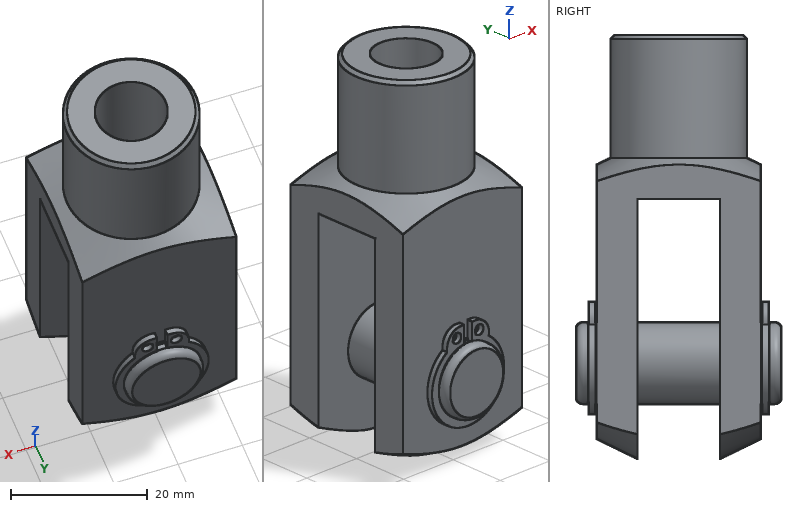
import cadquery as cq
import math

total_height = 62.0
body_width = 24.0
half_width = body_width / 2
corner_radius = half_width * math.sqrt(2)
neck_radius = 20.0 / 2
neck_length = 18.0
neck_chamfer = 0.6
bore_diameter = 10.65
slot_width = 12.0
slot_top = 38.0
cone_slope = math.tan(math.radians(26))
shoulder_height = total_height - neck_length

pin_length = 30.0
pin_radius = 12.0 / 2
pin_height = 14.0
pin_rim_length = 1.05
pin_rim_depth = 0.7
groove_radius = 11.5 / 2
groove_start = half_width + 0.2
groove_width = 1.1

ring_thickness = 1.0
ring_radius = 7.25
ring_drop = 0.25
lug_half_width = 4.2
lug_corner_radius = 2.8
lug_top = 9.0
ring_gap = 1.6
lug_hole_diameter = 1.7
lug_hole_offset = 2.25
lug_hole_height = 7.25


def make_body():
    block = cq.Workplane("XY").box(body_width, body_width, total_height, centered=(True, True, False))

    bottom_rise = cone_slope * (corner_radius - slot_width / 2)
    shoulder_drop = cone_slope * (corner_radius - neck_radius)
    envelope = (
        cq.Workplane("XZ")
        .moveTo(0, 0)
        .lineTo(slot_width / 2, 0)
        .lineTo(corner_radius, bottom_rise)
        .lineTo(corner_radius, shoulder_height - shoulder_drop)
        .lineTo(neck_radius, shoulder_height)
        .lineTo(neck_radius, total_height - neck_chamfer)
        .lineTo(neck_radius - neck_chamfer, total_height)
        .lineTo(0, total_height)
        .close()
        .revolve(360, (0, 0, 0), (0, 1, 0))
    )
    slot = cq.Workplane("XY").box(body_width, slot_width, slot_top, centered=(True, True, False))
    bore = cq.Workplane("XY").circle(bore_diameter / 2).extrude(total_height)
    return block.intersect(envelope).cut(slot).cut(bore)


def make_pin():
    """Pin with rounded rims; each rim arc starts tangent to the cylinder."""
    end = pin_length / 2
    rim_start = end - pin_rim_length
    face_radius = pin_radius - pin_rim_depth
    rim_radius = (pin_rim_length**2 + pin_rim_depth**2) / (2 * pin_rim_depth)
    pin = (
        cq.Workplane("XY")
        .moveTo(0, -end)
        .lineTo(face_radius, -end)
        .radiusArc((pin_radius, -rim_start), -rim_radius)
        .lineTo(pin_radius, rim_start)
        .radiusArc((face_radius, end), -rim_radius)
        .lineTo(0, end)
        .close()
        .revolve(360, (0, 0, 0), (0, 1, 0))
    )
    groove = (
        cq.Workplane("XZ", origin=(0, -groove_start, 0))
        .circle(pin_radius)
        .circle(groove_radius)
        .extrude(groove_width)
    )
    return pin.cut(groove).cut(groove.mirror("XZ")).translate((0, 0, pin_height))


def make_ring():
    """Retaining ring on the -Y side, its lugs pointing up."""
    plane = cq.Workplane("XZ", origin=(0, -groove_start, pin_height))
    disc = plane.center(0, -ring_drop).circle(ring_radius).extrude(ring_thickness)
    lugs = (
        plane.center(0, lug_top / 2)
        .rect(2 * lug_half_width, lug_top)
        .extrude(ring_thickness)
        .edges("|Y and >Z")
        .fillet(lug_corner_radius)
    )
    gap = plane.center(0, lug_top / 2).rect(ring_gap, lug_top).extrude(ring_thickness)
    bore = plane.circle(groove_radius).extrude(ring_thickness)
    holes = (
        plane.pushPoints([(side * lug_hole_offset, lug_hole_height) for side in (-1, 1)])
        .circle(lug_hole_diameter / 2)
        .extrude(ring_thickness)
    )
    return disc.union(lugs).cut(gap).cut(bore).cut(holes)


ring = make_ring()
result = make_body().union(make_pin()).union(ring).union(ring.mirror("XZ"))